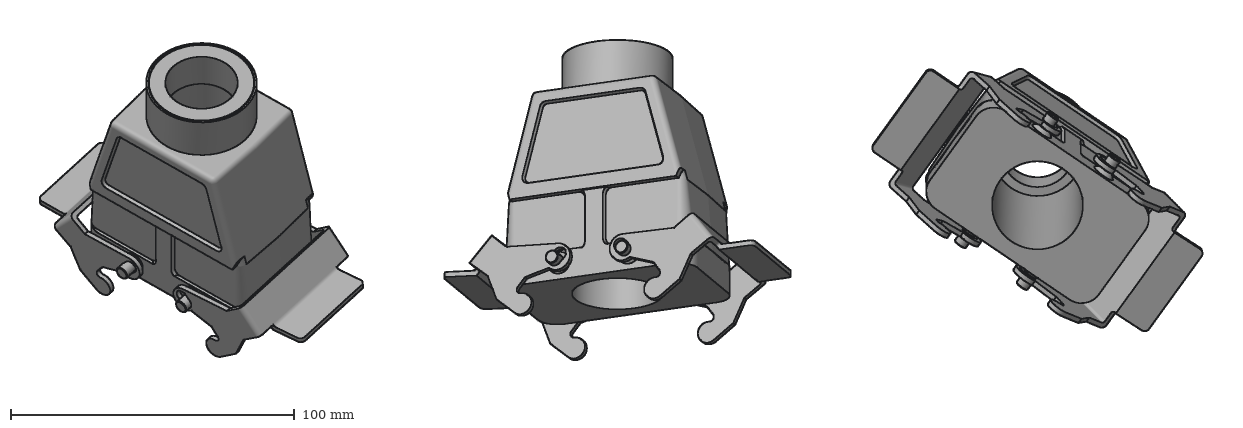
import cadquery as cq
import math

BASE_LENGTH = 72.5
BASE_WIDTH = 43.3
BASE_HEIGHT = 10.8
BASE_CORNER = 7.5
RECESS_DEPTH = 1.3
WALL_CORNER_BOTTOM = 4.7
WALL_CORNER_TOP = 2.8
SHOULDER_Z = 32.1
SHOULDER_LENGTH = 69.0
CAP_TOP_Z = 71.6
CAP_TOP_LENGTH = 48.1
CAP_WIDTH = 45.5
END_FOLD = 1.8
CAP_FILLET = 2.1
CORNER_NOTCH_HEIGHT = 3.4
CORNER_NOTCH_LENGTH = 2.7

NECK_DIAMETER = 39.0
NECK_BORE = 37.5
NECK_TOP_Z = 88.1
CABLE_PASSAGE = 32.0

RIB_HALF_WIDTH = 4.0
RIB_CORNER = 2.4
RECESS_DRAFT = 26

PANEL_BOTTOM_Z = 37.2
PANEL_TOP_Z = 67.1
PANEL_BOTTOM_LENGTH = 55.2
PANEL_TOP_LENGTH = 39.3
PANEL_CORNER = 2.4

PIN_X = 13.3
PIN_Z = 6.2
PIN_RADIUS = 2.4
PIN_SPAN = 57.2
PIN_ROOT_RADIUS = 4.0
PIN_ROOT_LENGTH = 1.7
PIN_CHAMFER = 0.2

BUSH_DIAMETER = 37.0
BUSH_BORE = 25.5
BUSH_LENGTH = 13.7

LEVER_WIDTH = 51.2
SHEET = 1.9
BEND_OUTER_RADIUS = 1.9
BEND_INNER_RADIUS = 1.1
SLOT_SHIFT = (1.7, 2.0)
LUG_RADIUS = 4.9
LUG_TOP_X = 0.5
LUG_EXIT = (-2.0, -3.1)
HOOK_CENTER = (-11.4, -16.0)
HOOK_RADIUS = 3.9
HOOK_NOTCH_DIAMETER = 3.0
HOOK_NOTCH_X = -14.9
HOOK_MOUTH = (-10.8, -6.2)
HOOK_HEEL = (-13.5, -19.3)
HEEL_CORNER = (-21.0, -14.0)
BACK_CORNER = (-25.2, -5.1)
TOP_EDGE_CORNER = (-18.8, 5.5)
WEB_TOP = (-25.7, 10.4)
WEB_BOTTOM = (-33.3, 0.5)
TAB_END_X = -46.0
TAB_TOP_Z = -0.2
TAB_WIDTH = 36.0
TAB_CORNER = 1.9
TAB_BEND_RADIUS = 2.1
TAB_ROOT_FILLET = 1.0
OPEN_ANGLE = 5.5

SIDES = (-1, 1)
wall_y = BASE_WIDTH / 2 - RECESS_DEPTH
fold_slope = math.tan(math.radians(END_FOLD))
cap_lean = (SHOULDER_LENGTH - CAP_TOP_LENGTH) / 2 / (CAP_TOP_Z - SHOULDER_Z)


def arc_inset(radius):
    """Distance of a quarter arc's middle from each of the two sides it joins."""
    return radius * (1 - math.sqrt(0.5))


def rounded_block(length, width, height, corner):
    """Upright block on Z = 0 with rounded vertical edges."""
    block = cq.Workplane("XY").box(length, width, height, centered=(True, True, False))
    return block.edges("|Z").fillet(corner)


def centered_prism(points, width):
    """Outline in the XZ plane, extruded symmetrically along Y."""
    return cq.Workplane("XZ").polyline(points).close().extrude(width / 2, both=True)


def symmetric_outline(half_widths_and_heights):
    """Points of an outline that is mirrored about the Z axis."""
    left = [(-x, z) for x, z in reversed(half_widths_and_heights)]
    return half_widths_and_heights + left


def wall_section(z, half_length, corner):
    """Wall outline at height z: pointed ends with the fold, and rounded corners."""
    tangent_y = wall_y - corner
    tangent_x = half_length - tangent_y * fold_slope
    mid_x = tangent_x - arc_inset(corner)
    mid_y = wall_y - arc_inset(corner)
    front_x = tangent_x - corner
    return (
        cq.Workplane("XY", origin=(0, 0, z))
        .moveTo(half_length, 0)
        .lineTo(tangent_x, tangent_y)
        .threePointArc((mid_x, mid_y), (front_x, wall_y))
        .lineTo(-front_x, wall_y)
        .threePointArc((-mid_x, mid_y), (-tangent_x, tangent_y))
        .lineTo(-half_length, 0)
        .lineTo(-tangent_x, -tangent_y)
        .threePointArc((-mid_x, -mid_y), (-front_x, -wall_y))
        .lineTo(front_x, -wall_y)
        .threePointArc((mid_x, -mid_y), (tangent_x, -tangent_y))
        .close()
    )


def drafted_walls():
    """Recessed walls that lean inward from the base up to the shoulder."""
    bottom = wall_section(BASE_HEIGHT, BASE_LENGTH / 2, WALL_CORNER_BOTTOM)
    top = wall_section(SHOULDER_Z, SHOULDER_LENGTH / 2, WALL_CORNER_TOP)
    walls = cq.Workplane(cq.Solid.makeLoft([bottom.val(), top.val()], True))
    return walls.intersect(rounded_block(BASE_LENGTH, BASE_WIDTH, SHOULDER_Z, BASE_CORNER))


def corner_notches(side):
    """Undercuts at both lower corners of one cap end, outside the rounded wall corners."""
    high_z = SHOULDER_Z + CORNER_NOTCH_HEIGHT
    high_half_length = SHOULDER_LENGTH / 2 - cap_lean * CORNER_NOTCH_HEIGHT
    high_x = high_half_length - fold_slope * CAP_WIDTH / 2
    low_x = SHOULDER_LENGTH / 2 - CORNER_NOTCH_LENGTH
    outer_x = SHOULDER_LENGTH / 2 + CORNER_NOTCH_LENGTH
    wedge = centered_prism([
        (side * low_x, SHOULDER_Z),
        (side * outer_x, SHOULDER_Z),
        (side * outer_x, high_z),
        (side * high_x, high_z),
    ], 2 * CAP_WIDTH)
    flat_width = 2 * (wall_y - WALL_CORNER_TOP)
    middle = cq.Workplane("XY").box(2 * BASE_LENGTH, flat_width, 2 * CAP_TOP_Z)
    low = wall_section(SHOULDER_Z, SHOULDER_LENGTH / 2, WALL_CORNER_TOP)
    high = wall_section(high_z, high_half_length, WALL_CORNER_TOP)
    rounded_core = cq.Workplane(cq.Solid.makeLoft([low.val(), high.val()], True))
    return wedge.cut(middle).cut(rounded_core)


def cap():
    """Tapered upper block with folded ends, rounded edges and undercut lower corners."""
    outline = symmetric_outline([
        (SHOULDER_LENGTH / 2, SHOULDER_Z),
        (CAP_TOP_LENGTH / 2, CAP_TOP_Z),
    ])
    block = cq.Workplane("XY").box(BASE_LENGTH, CAP_WIDTH, CAP_TOP_Z, centered=(True, True, False))
    for side in SIDES:
        skewed = centered_prism(outline, 2 * CAP_WIDTH)
        block = block.intersect(skewed.rotate((0, 0, 0), (0, 0, 1), side * END_FOLD))
    block = block.edges("(>Y or <Y or >Z) and (not <Z)").fillet(CAP_FILLET)
    for side in SIDES:
        block = block.cut(corner_notches(side))
    return block


def rib():
    """Raised rib on the -Y wall, flared into the base and the cap by rounded recess corners."""
    flare = RIB_HALF_WIDTH + RIB_CORNER
    bottom, top = BASE_HEIGHT, SHOULDER_Z
    overlap = RECESS_DEPTH
    bend_x = RIB_HALF_WIDTH + arc_inset(RIB_CORNER)
    bend_z = arc_inset(RIB_CORNER)
    half_outline = (
        cq.Workplane("XZ", origin=(0, -wall_y, 0))
        .moveTo(0, bottom - overlap)
        .lineTo(flare, bottom - overlap)
        .lineTo(flare, bottom)
        .threePointArc((bend_x, bottom + bend_z), (RIB_HALF_WIDTH, bottom + RIB_CORNER))
        .lineTo(RIB_HALF_WIDTH, top - RIB_CORNER)
        .threePointArc((bend_x, top - bend_z), (flare, top))
        .lineTo(flare, top + overlap)
        .lineTo(0, top + overlap)
    )
    return half_outline.mirrorY().extrude(RECESS_DEPTH, taper=RECESS_DRAFT)


def window_panel():
    """Shallow trapezoid pocket in the -Y face of the cap."""
    outline = symmetric_outline([
        (PANEL_BOTTOM_LENGTH / 2, PANEL_BOTTOM_Z),
        (PANEL_TOP_LENGTH / 2, PANEL_TOP_Z),
    ])
    sketch = cq.Sketch().polygon(outline + outline[:1]).vertices().fillet(PANEL_CORNER)
    face = cq.Workplane("XZ", origin=(0, -CAP_WIDTH / 2, 0))
    return face.placeSketch(sketch).extrude(-RECESS_DEPTH, taper=RECESS_DRAFT)


def pivot_pin():
    """Pin on the -Y wall with a conical root, around the Y axis."""
    wall = -BASE_WIDTH / 2
    tip = -PIN_SPAN / 2
    profile = [
        (0, wall + RECESS_DEPTH),
        (PIN_ROOT_RADIUS, wall + RECESS_DEPTH),
        (PIN_ROOT_RADIUS, wall),
        (PIN_RADIUS, wall - PIN_ROOT_LENGTH),
        (PIN_RADIUS, tip + PIN_CHAMFER),
        (PIN_RADIUS - PIN_CHAMFER, tip),
        (0, tip),
    ]
    return cq.Workplane("XY").polyline(profile).close().revolve(360, (0, 0), (0, 1))


def build_housing():
    body = rounded_block(BASE_LENGTH, BASE_WIDTH, BASE_HEIGHT, BASE_CORNER)
    body = body.union(drafted_walls()).union(cap())
    neck = cq.Workplane("XY", origin=(0, 0, CAP_TOP_Z)).circle(NECK_DIAMETER / 2)
    body = body.union(neck.extrude(NECK_TOP_Z - CAP_TOP_Z))
    raised = [rib()] + [pivot_pin().translate((side * PIN_X, 0, PIN_Z)) for side in SIDES]
    for feature in raised:
        body = body.union(feature).union(feature.mirror("XZ"))
    pocket = window_panel()
    body = body.cut(pocket).cut(pocket.mirror("XZ"))
    passage = cq.Workplane("XY").circle(CABLE_PASSAGE / 2).extrude(NECK_TOP_Z)
    seat = cq.Workplane("XY", origin=(0, 0, NECK_TOP_Z)).circle(NECK_BORE / 2).extrude(-BUSH_LENGTH)
    return body.cut(passage).cut(seat)


def build_bush():
    bottom = cq.Workplane("XY", origin=(0, 0, NECK_TOP_Z - BUSH_LENGTH))
    return bottom.circle(BUSH_DIAMETER / 2).circle(BUSH_BORE / 2).extrude(BUSH_LENGTH)


web_length = math.dist(WEB_TOP, WEB_BOTTOM)
down_web = ((WEB_BOTTOM[0] - WEB_TOP[0]) / web_length, (WEB_BOTTOM[1] - WEB_TOP[1]) / web_length)
into_lever = (-down_web[1], down_web[0])
along_web = cq.selectors.ParallelDirSelector(cq.Vector(down_web[0], 0, down_web[1]))


def web_point(along, inward):
    """Point at a distance down the web from its top, and inward from its outer face."""
    return (
        WEB_TOP[0] + along * down_web[0] + inward * into_lever[0],
        WEB_TOP[1] + along * down_web[1] + inward * into_lever[1],
    )


def web_point_at_height(z, inward):
    """Point on a line parallel to the web, where that line crosses height z."""
    start = web_point(0, inward)
    along = (z - start[1]) / down_web[1]
    return web_point(along, inward)


def lever_blank():
    """Side outline with lug and hook, as thick as the whole lever."""
    lug_x = SLOT_SHIFT[0] / 2
    lug_z = SLOT_SHIFT[1] / 2
    hook_x, hook_z = HOOK_CENTER
    hook_top_z = hook_z + HOOK_RADIUS
    outline = (
        cq.Workplane("XZ")
        .moveTo(*WEB_TOP)
        .lineTo(*TOP_EDGE_CORNER)
        .lineTo(LUG_TOP_X, lug_z + LUG_RADIUS)
        .threePointArc((lug_x + LUG_RADIUS, lug_z), LUG_EXIT)
        .lineTo(*HOOK_MOUTH)
        .lineTo(HOOK_NOTCH_X, hook_top_z)
        .lineTo(hook_x, hook_top_z)
        .threePointArc((hook_x + HOOK_RADIUS, hook_z), HOOK_HEEL)
        .lineTo(*HEEL_CORNER)
        .lineTo(*BACK_CORNER)
        .lineTo(*WEB_BOTTOM)
        .close()
    )
    blank = outline.extrude(LEVER_WIDTH / 2, both=True)
    notch_corner = cq.NearestToPointSelector((HOOK_NOTCH_X, 0, hook_top_z))
    blank = blank.edges("|Y").edges(notch_corner).fillet(HOOK_NOTCH_DIAMETER / 2)
    return blank.edges(along_web).fillet(BEND_OUTER_RADIUS)


def lever_inside():
    """Space between the two side plates, behind the web."""
    outline = [
        web_point(-2 * web_length, SHEET),
        web_point(2 * web_length, SHEET),
        web_point(2 * web_length, LEVER_WIDTH),
        web_point(-2 * web_length, LEVER_WIDTH),
    ]
    inside = centered_prism(outline, LEVER_WIDTH - 2 * SHEET)
    return inside.edges(along_web).fillet(BEND_INNER_RADIUS)


def lever_tab():
    """Finger tab bent outward from the lower edge of the web."""
    tab_bottom_z = TAB_TOP_Z - SHEET
    outline = [
        (TAB_END_X, TAB_TOP_Z),
        web_point_at_height(TAB_TOP_Z, 0),
        web_point(web_length - SHEET, 0),
        web_point(web_length - SHEET, SHEET),
        web_point_at_height(tab_bottom_z, SHEET),
        (TAB_END_X, tab_bottom_z),
    ]
    tab = centered_prism(outline, TAB_WIDTH).edges("|Z").fillet(TAB_CORNER)
    bend_x, bend_z = web_point_at_height(TAB_TOP_Z, 0)
    return tab.edges(cq.NearestToPointSelector((bend_x, 0, bend_z))).fillet(TAB_BEND_RADIUS)


def pivot_slot():
    """Round-ended slot that starts at the pin and runs along SLOT_SHIFT."""
    shift_length = math.hypot(*SLOT_SHIFT)
    shift_angle = math.degrees(math.atan2(SLOT_SHIFT[1], SLOT_SHIFT[0]))
    slot = (
        cq.Workplane("XZ")
        .center(SLOT_SHIFT[0] / 2, SLOT_SHIFT[1] / 2)
        .slot2D(shift_length + 2 * PIN_RADIUS, 2 * PIN_RADIUS, shift_angle)
    )
    return slot.extrude(LEVER_WIDTH, both=True)


def build_lever():
    """Lever of the -X end, with its pivot pin on the Y axis."""
    lever = lever_blank().cut(lever_inside()).union(lever_tab())
    root_x, root_z = web_point(web_length, SHEET / 2)
    for side in SIDES:
        root = cq.NearestToPointSelector((root_x, side * TAB_WIDTH / 2, root_z))
        lever = lever.edges(root).fillet(TAB_ROOT_FILLET)
    return lever.cut(pivot_slot())


housing = build_housing()
bush = build_bush()
levers = []
for side in SIDES:
    lever = build_lever()
    if side > 0:
        lever = lever.mirror("YZ").rotate((0, 0, 0), (0, 1, 0), -OPEN_ANGLE)
    levers.append(lever.translate((side * PIN_X, 0, PIN_Z)))

result = cq.Compound.makeCompound([
    housing.val(),
    bush.val(),
    *[lever.val() for lever in levers],
])